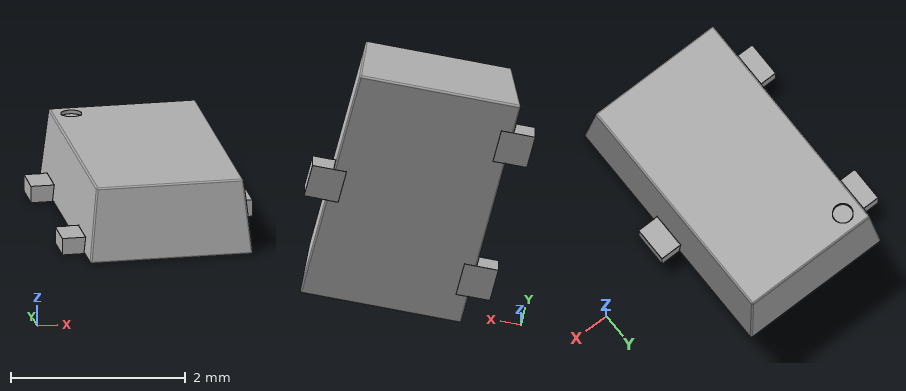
import cadquery as cq

HOUSING_WIDTH = 1.9
HOUSING_LENGTH = 3.1
HOUSING_HEIGHT = 0.88
DRAFT_ANGLE = 6.0
EDGE_RADIUS = 0.02

MARK_DIAMETER = HOUSING_WIDTH / 8
MARK_DEPTH = HOUSING_HEIGHT / 20
MARK_TO_EDGE = HOUSING_WIDTH / 6

LEAD_SPAN = 2.4
LEAD_WIDTH = 0.435
LEAD_LENGTH = 0.4
LEAD_THICKNESS = 0.2
LEAD_OFFSET = 0.95

LEAD_PLACES = [(-1, LEAD_OFFSET), (-1, -LEAD_OFFSET), (1, 0)]


def make_lead(side, y_position):
    """One lead on the -X (side = -1) or +X (side = 1) wall."""
    x_centre = side * (LEAD_SPAN - LEAD_LENGTH) / 2
    return (
        cq.Workplane("XY")
        .center(x_centre, y_position)
        .rect(LEAD_LENGTH, LEAD_WIDTH)
        .extrude(LEAD_THICKNESS)
    )


def make_pin_1_mark():
    """Cutter for the pin 1 recess, in the -X, +Y corner of the top face."""
    x_centre = -(HOUSING_WIDTH / 2 - MARK_TO_EDGE)
    y_centre = HOUSING_LENGTH / 2 - MARK_TO_EDGE
    return (
        cq.Workplane("XY", origin=(x_centre, y_centre, HOUSING_HEIGHT))
        .circle(MARK_DIAMETER / 2)
        .extrude(-MARK_DEPTH)
    )


def make_housing(leads):
    """Tapered block, rounded on every edge, with the mark and the lead pockets cut out."""
    housing = (
        cq.Workplane("XY")
        .rect(HOUSING_WIDTH, HOUSING_LENGTH)
        .extrude(HOUSING_HEIGHT, taper=DRAFT_ANGLE)
        .edges()
        .fillet(EDGE_RADIUS)
        .cut(make_pin_1_mark())
    )
    for lead in leads:
        housing = housing.cut(lead)
    return housing


leads = [make_lead(side, y_position) for side, y_position in LEAD_PLACES]
housing = make_housing(leads)

result = cq.Compound.makeCompound([housing.val(), *[lead.val() for lead in leads]])